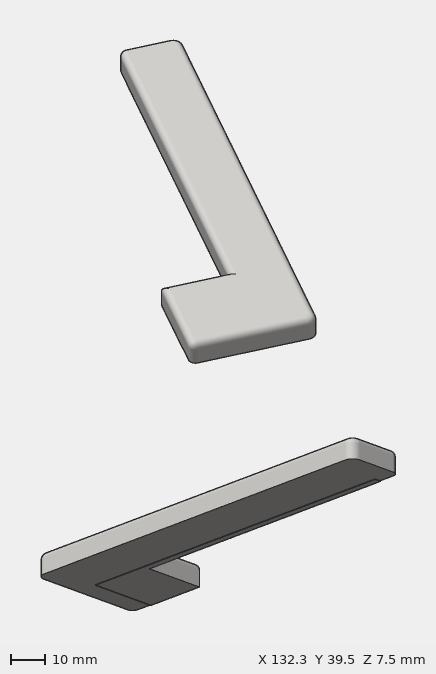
import cadquery as cq

LENGTH = 132.3
DEPTH = 39.5
THICKNESS = 7.5

ARM_WIDTH = 18.9
HEAD_LENGTH = 28.0

BACK_CORNER_RADIUS = 3.0
FRONT_CORNER_RADIUS = 2.1
TOP_EDGE_RADIUS = 2.05

PAD_HEIGHT = 0.2
PAD_END_MARGIN = 7.5
PAD_REACH_UNDER_ARM = 2.2

LEFT = -LENGTH / 2
RIGHT = LENGTH / 2
FRONT = -DEPTH / 2
BACK = DEPTH / 2
ARM_FRONT = BACK - ARM_WIDTH
HEAD_LEFT = RIGHT - HEAD_LENGTH


def l_shaped_plate():
    """Plain L: a long arm along the back with a head hanging forward at its right end."""
    outline = [
        (LEFT, BACK),
        (RIGHT, BACK),
        (RIGHT, FRONT),
        (HEAD_LEFT, FRONT),
        (HEAD_LEFT, ARM_FRONT),
        (LEFT, ARM_FRONT),
    ]
    return cq.Workplane("XY").polyline(outline).close().extrude(THICKNESS)


def round_vertical_edges(body, corners, radius):
    """Fillet the vertical edges standing at the given XY corners."""
    mid_height = THICKNESS / 2
    for x, y in corners:
        edge = cq.selectors.NearestToPointSelector((x, y, mid_height))
        body = body.edges("|Z").edges(edge).fillet(radius)
    return body


def underside_relief():
    """Shallow layer under the plate, less the pad that is left standing."""
    pad_back = ARM_FRONT + PAD_REACH_UNDER_ARM
    layer = cq.Workplane("XY").rect(LENGTH, DEPTH).extrude(PAD_HEIGHT)
    pad_length = LENGTH - 2 * PAD_END_MARGIN
    pad_depth = pad_back - FRONT
    pad = (
        cq.Workplane("XY")
        .center(0, (FRONT + pad_back) / 2)
        .rect(pad_length, pad_depth)
        .extrude(PAD_HEIGHT)
    )
    return layer.cut(pad)


plate = l_shaped_plate()
plate = round_vertical_edges(plate, [(LEFT, BACK), (RIGHT, BACK)], BACK_CORNER_RADIUS)
plate = round_vertical_edges(plate, [(LEFT, ARM_FRONT), (RIGHT, FRONT)], FRONT_CORNER_RADIUS)
plate = plate.faces(">Z").edges().fillet(TOP_EDGE_RADIUS)
result = plate.cut(underside_relief())